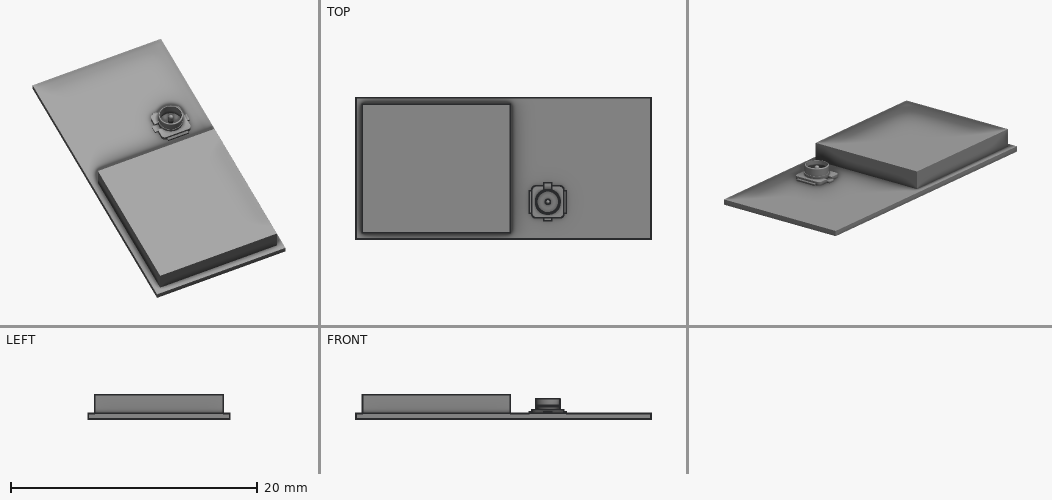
import cadquery as cq

BOARD_LENGTH = 24.0
BOARD_WIDTH = 11.5
BOARD_THICKNESS = 0.45
TOTAL_HEIGHT = 2.0

CAN_MARGIN = 0.53
CAN_LENGTH = 12.02
CAN_WIDTH = BOARD_WIDTH - 2 * CAN_MARGIN
CAN_HEIGHT = TOTAL_HEIGHT - BOARD_THICKNESS

CONNECTOR_X = 15.6
CONNECTOR_Y = 3.02
BASE_SIZE = 2.6
BASE_HEIGHT = 0.3
BASE_CORNER_RADIUS = 0.3
TAB_HEIGHT = 0.15
GROUND_SPAN = 3.02
GROUND_WIDTH = 1.82
SIGNAL_SPAN = 3.1
SIGNAL_WIDTH = 0.62
SHELL_DIAMETER = 2.0
SHELL_BORE = 1.8
SHELL_TOP = 1.2
SHELL_EDGE_RADIUS = 0.07
GROOVE_DIAMETER = 1.92
GROOVE_BOTTOM = 0.53
GROOVE_TOP = 0.67
PIN_DIAMETER = 0.4
PIN_TOP = 1.1


def corner_box(length, width, height):
    """Box with its lower corner at the origin."""
    return cq.Workplane("XY").box(length, width, height, centered=False)


def standing_box(length, width, height):
    """Box centred on the Z axis, standing on Z = 0."""
    return cq.Workplane("XY").box(length, width, height, centered=(True, True, False))


def cylinder(diameter, bottom, top):
    """Cylinder on the Z axis between two heights."""
    return cq.Workplane("XY").workplane(offset=bottom).circle(diameter / 2).extrude(top - bottom)


def make_board():
    return corner_box(BOARD_LENGTH, BOARD_WIDTH, BOARD_THICKNESS)


def make_can():
    can = corner_box(CAN_LENGTH, CAN_WIDTH, CAN_HEIGHT)
    return can.translate((CAN_MARGIN, CAN_MARGIN, BOARD_THICKNESS))


def make_base():
    """Rounded square base, notched above the rear signal tab, with four solder tabs."""
    base = standing_box(BASE_SIZE, BASE_SIZE, BASE_HEIGHT).edges("|Z").fillet(BASE_CORNER_RADIUS)
    notch = standing_box(SIGNAL_WIDTH, BASE_SIZE, BASE_HEIGHT).translate((0, BASE_SIZE / 2, TAB_HEIGHT))
    notch = notch.cut(cylinder(SHELL_DIAMETER, 0, SHELL_TOP))
    ground_tabs = standing_box(GROUND_SPAN, GROUND_WIDTH, TAB_HEIGHT)
    signal_tabs = standing_box(SIGNAL_WIDTH, SIGNAL_SPAN, TAB_HEIGHT)
    return base.cut(notch).union(ground_tabs).union(signal_tabs)


def make_shell():
    """Open round shell with a rounded rim and a snap groove around its outside."""
    shell = cylinder(SHELL_DIAMETER, BASE_HEIGHT, SHELL_TOP).faces(">Z").fillet(SHELL_EDGE_RADIUS)
    groove = cylinder(SHELL_DIAMETER, GROOVE_BOTTOM, GROOVE_TOP)
    groove = groove.cut(cylinder(GROOVE_DIAMETER, GROOVE_BOTTOM, GROOVE_TOP))
    return shell.cut(groove).cut(cylinder(SHELL_BORE, BASE_HEIGHT, SHELL_TOP))


def make_pin():
    """Centre contact with a domed tip."""
    dome_radius = PIN_DIAMETER / 2
    dome_centre = PIN_TOP - dome_radius
    dome = cq.Workplane("XY").sphere(dome_radius).translate((0, 0, dome_centre))
    return cylinder(PIN_DIAMETER, BASE_HEIGHT, dome_centre).union(dome)


def make_connector():
    connector = make_base().union(make_shell()).union(make_pin())
    return connector.translate((CONNECTOR_X, CONNECTOR_Y, BOARD_THICKNESS))


board = make_board()
can = make_can()
connector = make_connector()

result = cq.Compound.makeCompound([board.val(), can.val(), connector.val()])